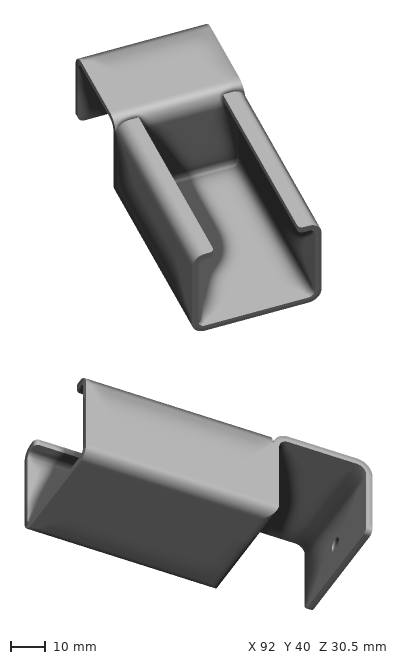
import cadquery as cq

length = 92.0
width = 40.0
height = 30.5
sheet = 2.0

wall_x = 30.0
hook_bend = 5.0
leg_length = 26.1
leg_corner = 2.0
hole_diameter = 4.4
hole_depth = 16.1

channel_bend = 4.0
lip_width = 7.0
lip_corner = 1.5

wall_inner_x = wall_x + sheet
bend_end_z = height - hook_bend
slot_width = width - 2 * lip_width


def rounded_trough(start_x, depth, half_width, bottom, top, radius):
    """Solid with all its long edges and its bottom back edge rounded, mitred at the corners."""
    across = (
        cq.Workplane("YZ")
        .workplane(offset=start_x)
        .center(0, (bottom + top) / 2)
        .rect(2 * half_width, top - bottom)
        .extrude(depth)
        .edges("|X")
        .fillet(radius)
    )
    along = (
        cq.Workplane("XZ")
        .center(start_x + depth / 2, (bottom + top) / 2)
        .rect(depth, top - bottom)
        .extrude(half_width, both=True)
        .edges("|Y and <X and <Z")
        .fillet(radius)
    )
    return across.intersect(along)


def make_channel():
    outside = rounded_trough(wall_x, length - wall_x, width / 2, 0, height, channel_bend)
    cavity = rounded_trough(
        wall_inner_x, length - wall_inner_x, width / 2 - sheet,
        sheet, height - sheet, channel_bend - sheet,
    )
    slot = (
        cq.Workplane("XY")
        .workplane(offset=height / 2)
        .center((wall_inner_x + length) / 2, 0)
        .rect(length - wall_inner_x, slot_width)
        .extrude(height / 2)
    )
    relief = (
        cq.Workplane("XY")
        .workplane(offset=bend_end_z)
        .center((wall_x + wall_inner_x) / 2, 0)
        .rect(sheet, width)
        .extrude(hook_bend)
    )
    channel = outside.cut(cavity).cut(slot).cut(relief)

    for side in (-1, 1):
        lip_edge = cq.selectors.NearestToPointSelector(
            (length, side * slot_width / 2, height - sheet / 2)
        )
        channel = channel.edges("|Z").edges(lip_edge).fillet(lip_corner)
    return channel


def hook_block(start_x, end_x, top, radius):
    """Full-width block down to the end of the hook's bend, rounded along both top edges."""
    return (
        cq.Workplane("XY")
        .center((start_x + end_x) / 2, 0)
        .rect(end_x - start_x, width)
        .extrude(top)
        .edges("|Y and >Z")
        .fillet(radius)
    )


def make_hook():
    outside = hook_block(0, wall_inner_x, height, hook_bend)
    inside = hook_block(sheet, wall_x, height - sheet, hook_bend - sheet)
    bent_strip = outside.cut(inside)

    leg_end_z = height - leg_length
    below_leg = cq.Workplane("XY").rect(2 * sheet, width).extrude(leg_end_z)
    below_bend = (
        cq.Workplane("XY")
        .center((wall_x + wall_inner_x) / 2, 0)
        .rect(sheet, width)
        .extrude(bend_end_z)
    )
    hook = bent_strip.cut(below_leg).cut(below_bend)
    hook = hook.edges("|X and <Z").fillet(leg_corner)

    hole = (
        cq.Workplane("YZ")
        .center(0, height - hole_depth)
        .circle(hole_diameter / 2)
        .extrude(sheet)
    )
    return hook.cut(hole)


result = make_channel().union(make_hook())